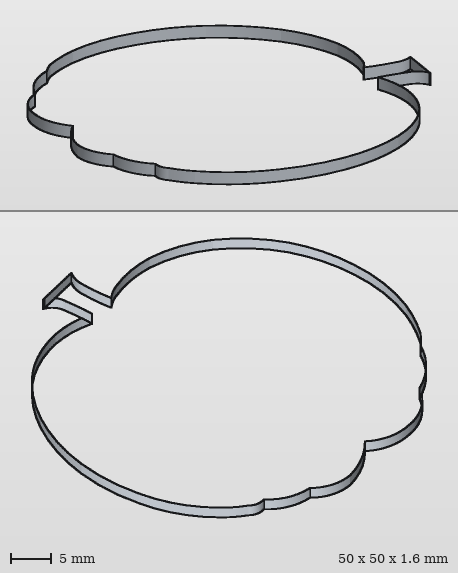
import cadquery as cq

HEIGHT = 1.6
WALL = 0.08
HALF_WIDTH = 25.0
TOP = 25.0
BOTTOM = -25.0

STEM_ROOT_LEFT = (-1.87, 18.3)
STEM_TIP_LEFT = (-2.55, TOP)
STEM_TIP_RIGHT = (3.55, 24.7)
STEM_ROOT_RIGHT = (1.95, 18.35)
NOTCH_RIGHT_UPPER = (16.05, -19.4)
NOTCH_RIGHT_LOWER = (10.9, -22.55)
NOTCH_BOTTOM = (-0.05, -22.6)
NOTCH_LEFT_LOWER = (-11.85, -21.87)
NOTCH_LEFT_UPPER = (-18.25, -17.05)

STEM_LEFT_SIDE = [
    ((-1.7, 20.4), (-1.7, 22.4)),
    ((-1.9, 23.8), STEM_TIP_LEFT),
]
STEM_RIGHT_SIDE = [
    ((2.5, 23.75), (2.1, 22.3)),
    ((1.97, 20.4), STEM_ROOT_RIGHT),
]
RIGHT_CHEEK = [
    ((4.5, 19.22), (7.6, 19.57)),
    ((11.7, 18.9), (15.2, 17.3)),
    ((18.45, 14.65), (21.0, 11.5)),
    ((23.2, 7.3), (24.6, 2.4)),
    ((HALF_WIDTH, -2.0), (24.6, -6.6)),
    ((23.1, -11.77), (20.5, -16.12)),
    ((19.45, -17.35), (18.1, -18.57)),
    ((17.27, -19.22), NOTCH_RIGHT_UPPER),
]
RIGHT_SMALL_LOBE = [((14.05, -21.35), NOTCH_RIGHT_LOWER)]
RIGHT_BOTTOM_LOBE = [
    ((9.15, -24.1), (6.0, BOTTOM)),
    ((2.9, -24.3), NOTCH_BOTTOM),
]
LEFT_BOTTOM_LOBE = [
    ((-2.55, -24.4), (-5.8, BOTTOM)),
    ((-9.25, -24.2), NOTCH_LEFT_LOWER),
]
LEFT_SMALL_LOBE = [((-15.65, -19.97), NOTCH_LEFT_UPPER)]
LEFT_CHEEK = [
    ((-19.05, -16.5), (-20.0, -15.7)),
    ((-21.6, -13.55), (-23.0, -11.1)),
    ((-24.52, -6.5), (-HALF_WIDTH, -1.5)),
    ((-24.62, 2.8), (-23.3, 7.4)),
    ((-21.03, 11.5), (-18.0, 15.03)),
    ((-14.55, 17.5), (-10.6, 19.1)),
    ((-7.2, 19.5), (-4.0, 19.17)),
    ((-2.75, 18.8), STEM_ROOT_LEFT),
]


def add_arcs(path, arcs):
    """Continue the path through a chain of arcs."""
    for middle, end in arcs:
        path = path.threePointArc(middle, end)
    return path


def make_outline():
    """Closed outer edge of the band."""
    path = cq.Workplane("XY").moveTo(*STEM_ROOT_LEFT)
    path = add_arcs(path, STEM_LEFT_SIDE)
    path = path.lineTo(*STEM_TIP_RIGHT)
    right_side = STEM_RIGHT_SIDE + RIGHT_CHEEK + RIGHT_SMALL_LOBE + RIGHT_BOTTOM_LOBE
    left_side = LEFT_BOTTOM_LOBE + LEFT_SMALL_LOBE + LEFT_CHEEK
    path = add_arcs(path, right_side + left_side)
    return path.close()


def make_band():
    """Outline extruded to full height with its inside removed."""
    outer = make_outline().extrude(HEIGHT)
    inner = make_outline().offset2D(-WALL, "arc").extrude(HEIGHT)
    return outer.cut(inner)


result = make_band()